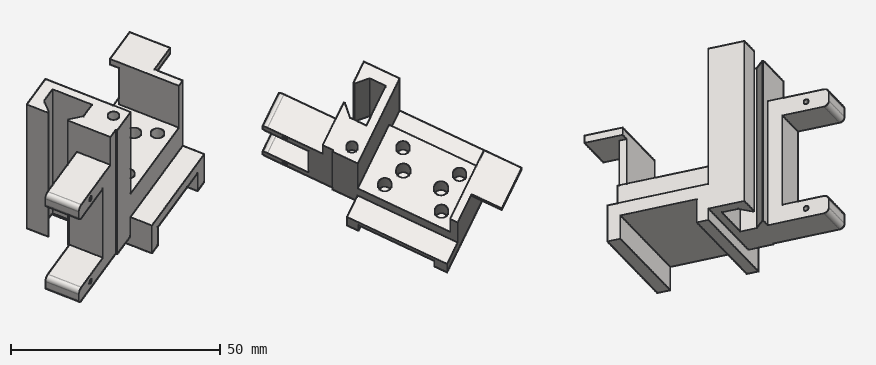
import cadquery as cq


total_depth = 59.94

base_width = 28.9
base_depth = 26.54
base_top = 9.76
rear_foot_depth = 3.43
front_foot_depth = 3.07
tunnel_height = 6.3
block_left = 5.82
block_width = base_width - 2 * block_left
block_right = block_left + block_width
block_top = 17.9

hole_depth = 10.0

corner_hole_diameter = 3.3
corner_hole_pitch_x = 10.0
corner_hole_pitch_y = 15.0
middle_hole_diameter = 3.5
middle_hole_pitch_y = 10.0
block_hole_center_x = base_width / 2
block_hole_center_y = 13.0

panel_left = 6.8
panel_thickness = 2.0
shelf_left = 4.4
shelf_tab_width = 11.0
shelf_thickness = 2.0
shelf_top = 32.52
shelf_overhang = 8.0

column_bottom = 3.06
column_top = 46.33
column_front = -9.4
column_overlap = 0.1
column_width = block_right
column_hole_diameter = 2.8
column_hole_x = 20.03
column_hole_y = -2.9

channel_left = 3.1
channel_right = 13.8
channel_back = -2.1
channel_taper_start = -6.4
channel_lip = 0.35
mouth_left = 5.82
mouth_right = 11.08

fork_left = 13.59
fork_right = 22.68
fork_top = 36.62
fork_length = total_depth - shelf_overhang - base_depth + column_front
fork_web_depth = 3.8
arm_height = 4.72
arm_tip_radius = 1.3
arm_hole_diameter = 1.3
arm_hole_reach = 10.04

step_start = -6.65


def box(x_range, y_range, z_range):
    """Axis-aligned box from (min, max) pairs."""
    x_min, x_max = x_range
    y_min, y_max = y_range
    z_min, z_max = z_range
    corner = cq.Workplane("XY", origin=(x_min, y_min, z_min))
    return corner.box(x_max - x_min, y_max - y_min, z_max - z_min, centered=False)


def vertical_holes(centers, diameter, top):
    """Blind round cutters going down from height top."""
    top_plane = cq.Workplane("XY", origin=(0, 0, top))
    return top_plane.pushPoints(centers).circle(diameter / 2).extrude(-hole_depth)


def make_base():
    bridge = box((0, base_width), (0, base_depth), (0, base_top))
    tunnel = box((0, base_width), (front_foot_depth, base_depth - rear_foot_depth), (0, tunnel_height))
    block = box((block_left, block_right), (0, base_depth), (base_top, block_top))
    corner_centers = [
        (
            block_hole_center_x + side_x * corner_hole_pitch_x / 2,
            block_hole_center_y + side_y * corner_hole_pitch_y / 2,
        )
        for side_x in (-1, 1)
        for side_y in (-1, 1)
    ]
    middle_centers = [
        (block_hole_center_x, block_hole_center_y + side_y * middle_hole_pitch_y / 2)
        for side_y in (-1, 1)
    ]
    base = bridge.cut(tunnel).union(block)
    base = base.cut(vertical_holes(corner_centers, corner_hole_diameter, block_top))
    return base.cut(vertical_holes(middle_centers, middle_hole_diameter, block_top))


def make_panel_and_shelf():
    panel_front = base_depth - panel_thickness
    panel = box((panel_left, block_right), (panel_front, base_depth), (block_top, shelf_top))
    shelf = box(
        (shelf_left, shelf_left + shelf_tab_width),
        (panel_front, base_depth + shelf_overhang),
        (shelf_top - shelf_thickness, shelf_top),
    )
    return panel.union(shelf)


def make_column():
    column = box((0, column_width), (column_front, column_overlap), (column_bottom, column_top))
    lip_back = column_front + channel_lip
    channel = (
        cq.Workplane("XY", origin=(0, 0, column_bottom))
        .polyline([
            (channel_left, channel_back),
            (channel_right, channel_back),
            (channel_right, channel_taper_start),
            (mouth_right, lip_back),
            (mouth_right, column_front),
            (mouth_left, column_front),
            (mouth_left, lip_back),
            (channel_left, channel_taper_start),
        ])
        .close()
        .extrude(column_top - column_bottom)
    )
    step = box((fork_right, column_width), (column_front, step_start), (column_bottom, column_top))
    hole = vertical_holes([(column_hole_x, column_hole_y)], column_hole_diameter, column_top)
    return column.cut(channel).cut(step).cut(hole)


def make_fork():
    fork_x = (fork_left, fork_right)
    tip = column_front - fork_length
    fork = box(fork_x, (column_front - fork_web_depth, column_front), (column_bottom, fork_top))
    for arm_bottom in (column_bottom, fork_top - arm_height):
        arm = box(fork_x, (tip, column_front), (arm_bottom, arm_bottom + arm_height))
        arm = arm.faces("<Y").edges("|X").fillet(arm_tip_radius)
        hole_start = (fork_left, column_front - arm_hole_reach, arm_bottom + arm_height / 2)
        hole = (
            cq.Workplane("YZ", origin=hole_start)
            .circle(arm_hole_diameter / 2)
            .extrude(fork_right - fork_left)
        )
        fork = fork.union(arm.cut(hole))
    return fork


result = (
    make_base()
    .union(make_panel_and_shelf())
    .union(make_column())
    .union(make_fork())
)